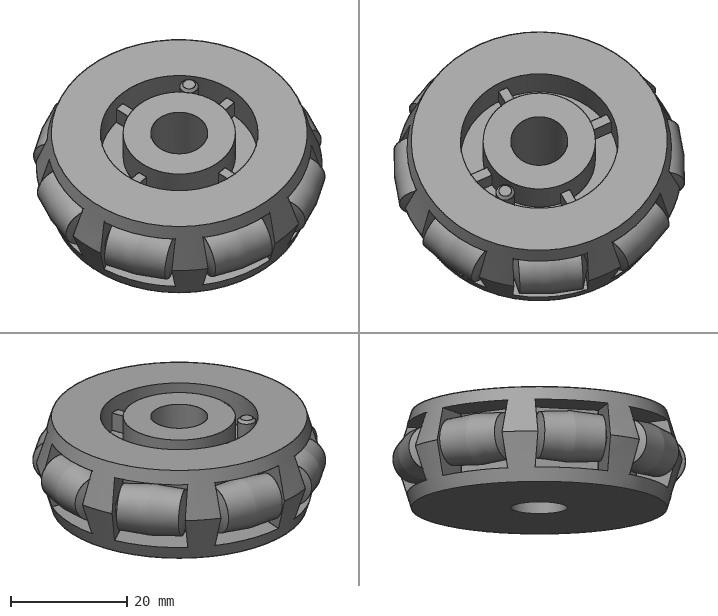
import cadquery as cq
import math

WHEEL_HEIGHT = 16.65
RIM_DIAMETER = 49.1
FACE_DIAMETER = 43.95
BORE_DIAMETER = 9.75

HUB_DIAMETER = 19.3
RECESS_DIAMETER = 27.05
RECESS_DEPTH = 5.95

SPOKE_COUNT = 4
SPOKE_WIDTH = 1.75
SPOKE_DROP = 2.7

ROLLER_COUNT = 8
WINDOW_LENGTH = 12.9
WINDOW_HEIGHT = 11.9
WINDOW_FLOOR_RADIUS = 15.45

ROLLER_AXIS_RADIUS = 20.5
ROLLER_MID_DIAMETER = 8.85
ROLLER_EDGE_DIAMETER = 8.1
ROLLER_TIP_DIAMETER = 1.3
ROLLER_BARREL_LENGTH = 10.9

PIN_DIAMETER = 3.15
PIN_CHAMFER = 0.5
PIN_ANGLE = 122.3

HALF_HEIGHT = WHEEL_HEIGHT / 2
RECESS_FLOOR_Z = HALF_HEIGHT - RECESS_DEPTH
PIN_CIRCLE_RADIUS = (HUB_DIAMETER + RECESS_DIAMETER) / 4
ROLLER_PITCH = 360 / ROLLER_COUNT


def make_wheel_blank():
    """Double-cone disc with a central bore."""
    profile = [
        (BORE_DIAMETER / 2, -HALF_HEIGHT),
        (FACE_DIAMETER / 2, -HALF_HEIGHT),
        (RIM_DIAMETER / 2, 0),
        (FACE_DIAMETER / 2, HALF_HEIGHT),
        (BORE_DIAMETER / 2, HALF_HEIGHT),
    ]
    return cq.Workplane("XZ").polyline(profile).close().revolve(360, (0, 0, 0), (0, 1, 0))


def make_recess():
    """Annular cutter for the recess, leaving the spokes standing."""
    ring = (
        cq.Workplane("XY", origin=(0, 0, RECESS_FLOOR_Z))
        .circle(RECESS_DIAMETER / 2)
        .circle(HUB_DIAMETER / 2)
        .extrude(RECESS_DEPTH)
    )
    spoke_height = RECESS_DEPTH - SPOKE_DROP
    for i in range(SPOKE_COUNT // 2):
        spoke_pair = (
            cq.Workplane("XY", origin=(0, 0, RECESS_FLOOR_Z))
            .rect(RECESS_DIAMETER, SPOKE_WIDTH)
            .extrude(spoke_height)
            .rotate((0, 0, 0), (0, 0, 1), i * 360 / SPOKE_COUNT)
        )
        ring = ring.cut(spoke_pair)
    return ring


def place_on_rim(body, index):
    """Turn a body built on the +X axis to its roller position."""
    return body.rotate((0, 0, 0), (0, 0, 1), (index + 0.5) * ROLLER_PITCH)


def make_window():
    """Box cutter on the +X axis, from the window floor out past the rim."""
    window_depth = RIM_DIAMETER / 2 - WINDOW_FLOOR_RADIUS
    return (
        cq.Workplane("XY")
        .box(window_depth, WINDOW_LENGTH, WINDOW_HEIGHT, centered=(False, True, True))
        .translate((WINDOW_FLOOR_RADIUS, 0, 0))
    )


def make_wheel():
    wheel = make_wheel_blank().cut(make_recess())
    for i in range(ROLLER_COUNT):
        wheel = wheel.cut(place_on_rim(make_window(), i))
    return wheel


def make_roller(index):
    """Barrel roller with its axis tangent to the wheel."""
    half_barrel = ROLLER_BARREL_LENGTH / 2
    half_length = WINDOW_LENGTH / 2
    profile = [
        (0, -half_length),
        (ROLLER_TIP_DIAMETER / 2, -half_length),
        (ROLLER_EDGE_DIAMETER / 2, -half_barrel),
        (ROLLER_MID_DIAMETER / 2, 0),
        (ROLLER_EDGE_DIAMETER / 2, half_barrel),
        (ROLLER_TIP_DIAMETER / 2, half_length),
        (0, half_length),
    ]
    roller = (
        cq.Workplane("XY")
        .polyline(profile)
        .close()
        .revolve(360, (0, 0, 0), (0, 1, 0))
        .translate((ROLLER_AXIS_RADIUS, 0, 0))
    )
    return place_on_rim(roller, index)


def make_pin():
    """Round pin, flush with the top face, chamfered at its top end."""
    angle = math.radians(PIN_ANGLE)
    position = (PIN_CIRCLE_RADIUS * math.cos(angle), PIN_CIRCLE_RADIUS * math.sin(angle), RECESS_FLOOR_Z)
    return (
        cq.Workplane("XY", origin=position)
        .circle(PIN_DIAMETER / 2)
        .extrude(RECESS_DEPTH)
        .faces(">Z")
        .chamfer(PIN_CHAMFER)
    )


wheel = make_wheel()
rollers = [make_roller(i) for i in range(ROLLER_COUNT)]
pin = make_pin()

result = cq.Compound.makeCompound([wheel.val(), *[roller.val() for roller in rollers], pin.val()])